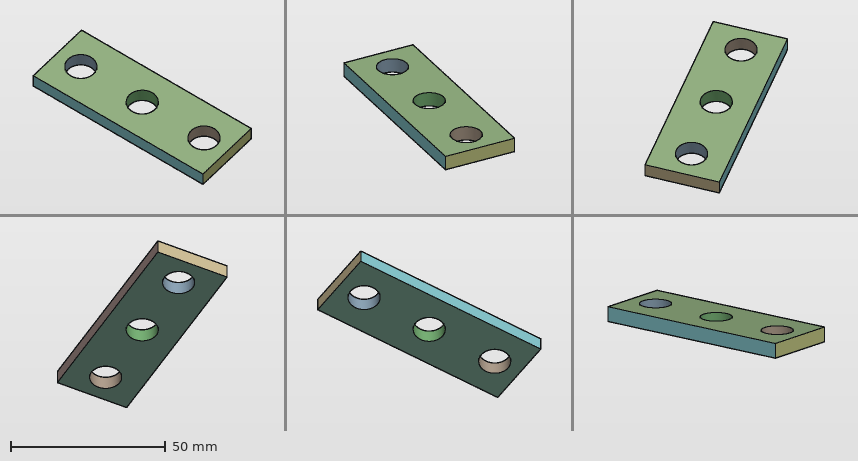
import cadquery as cq

length = 69.85
width = 25.4
thickness = 5.0

hole_diameter = 10.41
right_hole_pitch = 25.4
left_hole_pitch = 25.27
hole_positions = [(-left_hole_pitch, 0), (0, 0), (right_hole_pitch, 0)]


def make_bar():
    """Plain rectangular bar centred on X and Y, with its bottom on Z = 0."""
    return cq.Workplane("XY").box(length, width, thickness, centered=(True, True, False))


def drill_holes(bar):
    """Row of through holes along the bar's centre line, the middle one at its centre."""
    return (
        bar.faces(">Z")
        .workplane(origin=(0, 0, thickness))
        .pushPoints(hole_positions)
        .hole(hole_diameter)
    )


result = drill_holes(make_bar())